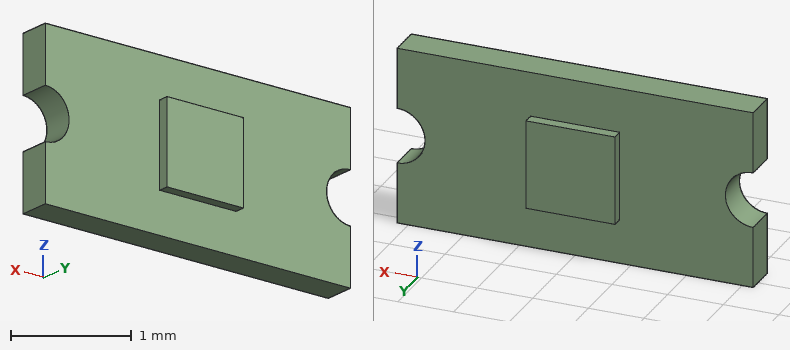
import cadquery as cq

LENGTH = 3.2
DEPTH = 0.4
HEIGHT = 1.6

BOARD_THICKNESS = 0.3
NOTCH_RADIUS = 0.25

BLOCK_SIDE = LENGTH / 4
BLOCK_THICKNESS = DEPTH - BOARD_THICKNESS


def make_board():
    """Plate from Y = 0 to its back face, notched through at both ends."""
    board = cq.Workplane("XY").box(LENGTH, BOARD_THICKNESS, HEIGHT, centered=(True, False, True))
    notches = (
        cq.Workplane("XZ")
        .pushPoints([(-LENGTH / 2, 0), (LENGTH / 2, 0)])
        .circle(NOTCH_RADIUS)
        .extrude(-BOARD_THICKNESS)
    )
    return board.cut(notches)


def make_block():
    """Square block resting on the back face of the board."""
    return (
        cq.Workplane("XY")
        .box(BLOCK_SIDE, BLOCK_THICKNESS, BLOCK_SIDE, centered=(True, False, True))
        .translate((0, BOARD_THICKNESS, 0))
    )


board = make_board()
block = make_block()
result = cq.Compound.makeCompound([board.val(), block.val()])